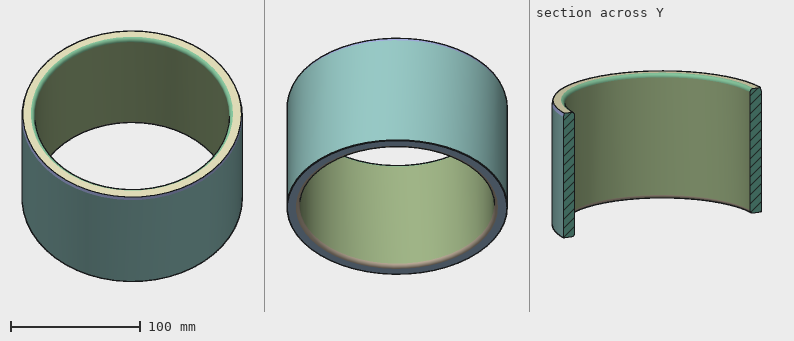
import cadquery as cq

outer_diameter = 170.0
bore_diameter = 150.0
height = 100.0

top_chamfer_height = 2.9
top_chamfer_width = 0.8
bore_fillet = 2.9
bottom_chamfer = 0.5

outer_radius = outer_diameter / 2
bore_radius = bore_diameter / 2

inner_edge = cq.selectors.RadiusNthSelector(0)
outer_edge = cq.selectors.RadiusNthSelector(-1)

ring = cq.Workplane("XY").circle(outer_radius).circle(bore_radius).extrude(height)

for end_face in (">Z", "<Z"):
    ring = ring.faces(end_face).edges(inner_edge).fillet(bore_fillet)

ring = ring.faces("<Z").edges(outer_edge).chamfer(bottom_chamfer)

chamfer_cutter = (
    cq.Workplane("XZ")
    .moveTo(outer_radius, height - top_chamfer_height)
    .lineTo(outer_radius, height)
    .lineTo(outer_radius - top_chamfer_width, height)
    .close()
    .revolve(360, (0, 0, 0), (0, 1, 0))
)
result = ring.cut(chamfer_cutter)